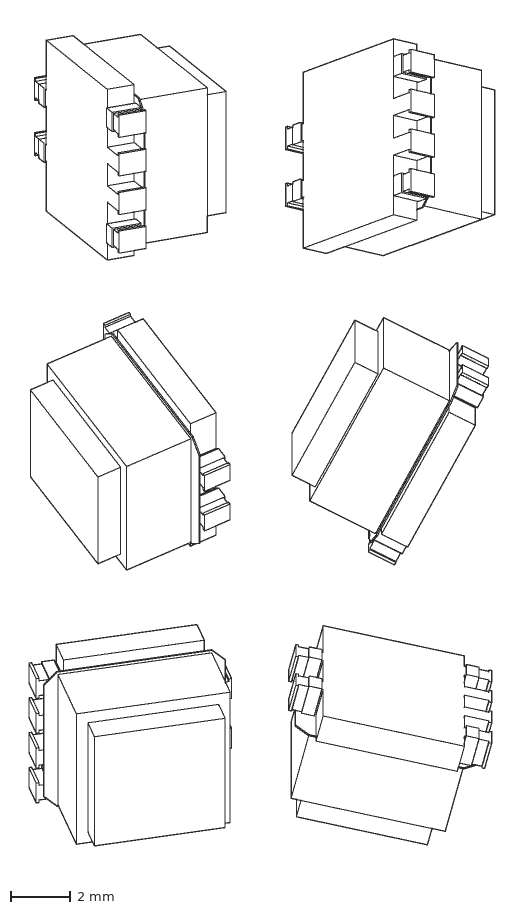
import cadquery as cq

base_width = 4.9
base_depth = 1.0
base_height = 6.2

flange_gap = 0.029
flange_width = 6.31
flange_thickness = 0.05
flange_height = 5.4
flange_corner_cut = 0.46

body_gap = 0.032
body_width = 5.35
body_depth = 2.5
body_height = 5.25
core_width = 4.55
core_height = 4.4
core_back_length = 0.885

overall_width = 6.8
stem_height = 0.6
lip_height = 0.8
lip_length = 0.1
left_pitch = 2.0
right_pitch = 1.4

wrap_thickness = 0.05
wrap_length = 0.45
wrap_offset = 0.05
wrap_corner_radius = wrap_thickness

flange_front = base_depth + flange_gap
flange_back = flange_front + flange_thickness
body_front = flange_back + body_gap
body_back = body_front + body_depth
core_back = body_back + core_back_length

left_heights = [(i - 0.5) * left_pitch for i in range(2)]
right_heights = [(i - 1.5) * right_pitch for i in range(4)]
right_wrapped_heights = [right_heights[0], right_heights[-1]]


def block(width, height, front, back):
    """Box centred on x = 0 and z = 0, between two stations along Y."""
    return cq.Workplane("XY").box(width, back - front, height).translate((0, (front + back) / 2, 0))


def flange():
    plate = block(flange_width, flange_height, flange_front, flange_back)
    return plate.edges("|Y").chamfer(flange_corner_cut)


def terminal(side, height):
    """Stem and end lip; side is -1 for the left and 1 for the right."""
    stem_length = (overall_width - base_width) / 2
    stem_x = side * (base_width + stem_length) / 2
    lip_x = side * (overall_width - lip_length) / 2
    stem = block(stem_length, stem_height, 0, base_depth).translate((stem_x, 0, height))
    lip = block(lip_length, lip_height, 0, base_depth).translate((lip_x, 0, height))
    return stem.union(lip)


def wire_wrap(side, height):
    """Sleeve around a stem; only the left ones have rounded upper edges."""
    wrap_height = stem_height + 2 * wrap_thickness
    wrap_x = side * (base_width / 2 + wrap_offset + wrap_length / 2)
    wrap = block(wrap_length, wrap_height, -wrap_thickness, base_depth + wrap_thickness)
    if side < 0:
        wrap = wrap.edges("|Y and >Z").fillet(wrap_corner_radius)
    return wrap.translate((wrap_x, 0, height))


result = block(base_width, base_height, 0, base_depth)
result = result.union(flange())
result = result.union(block(body_width, body_height, body_front, body_back))
result = result.union(block(core_width, core_height, base_depth, core_back))

for z in left_heights:
    result = result.union(terminal(-1, z)).union(wire_wrap(-1, z))
for z in right_heights:
    result = result.union(terminal(1, z))
for z in right_wrapped_heights:
    result = result.union(wire_wrap(1, z))